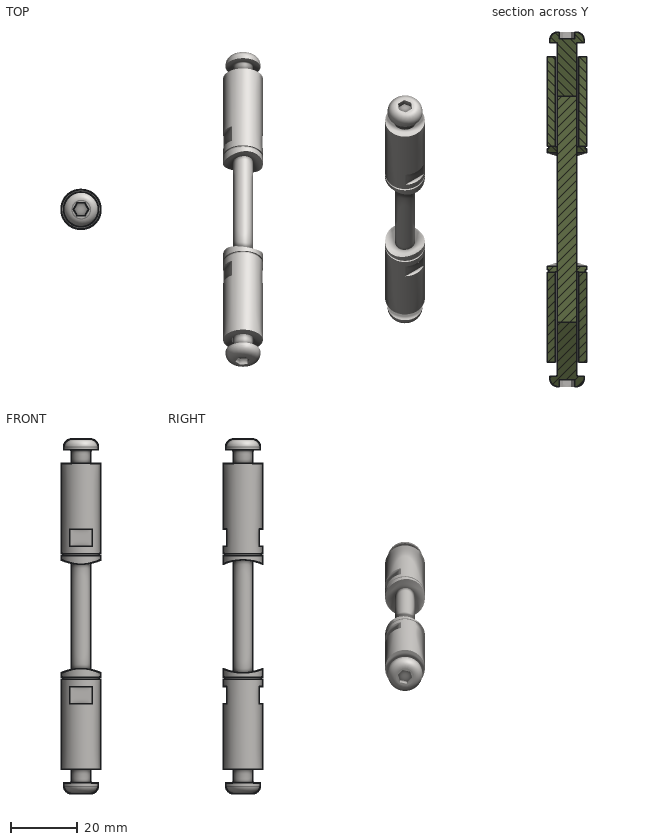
import cadquery as cq
import math

total_length = 107.1
body_diameter = 12.0
rod_diameter = 6.0

head_diameter = 10.5
head_height = 3.3
head_rim_height = 1.0
head_top_diameter = 5.6
dome_bulge = 0.6
head_fillet = 0.3
socket_across_flats = 4.0
socket_depth = 2.0
screw_length = 16.1

bore_diameter = 6.9
head_gap = 4.1
sleeve_length = 27.2
flat_spacing = 9.9
flat_height = 5.1
flat_offset = 2.2

neck_diameter = 11.0
neck_length = 0.6
tip_length = 3.2
saddle_depth = 1.3

end_z = total_length / 2
head_seat_z = end_z - head_height
sleeve_outer_z = head_seat_z - head_gap
sleeve_inner_z = sleeve_outer_z - sleeve_length
tip_inner_z = sleeve_inner_z - tip_length
screw_tip_z = head_seat_z - screw_length

body_radius = body_diameter / 2
rod_radius = rod_diameter / 2
saddle_radius = (body_radius**2 + saddle_depth**2) / (2 * saddle_depth)


def cylinder(diameter, bottom_z, top_z):
    """Solid cylinder on the Z axis between two heights."""
    return cq.Workplane("XY").workplane(offset=bottom_z).circle(diameter / 2).extrude(top_z - bottom_z)


def make_rod():
    """Plain rod that reaches the tips of both screws."""
    return cylinder(rod_diameter, -screw_tip_z, screw_tip_z)


def make_socket():
    """Hexagonal socket volume, open at the top of the upper screw head."""
    across_corners = socket_across_flats / math.cos(math.pi / 6)
    base = cq.Workplane("XY").workplane(offset=end_z - socket_depth)
    return base.polygon(6, across_corners).extrude(socket_depth)


def make_screw():
    """Upper button-head screw: shank, filleted seat, straight rim and domed head."""
    rim_radius = head_diameter / 2
    rim_z = head_seat_z + head_rim_height
    top_radius = head_top_diameter / 2
    dome_width = rim_radius - top_radius
    dome_height = end_z - rim_z
    chord = math.hypot(dome_width, dome_height)
    dome_middle = (
        (rim_radius + top_radius) / 2 + dome_bulge * dome_height / chord,
        (rim_z + end_z) / 2 + dome_bulge * dome_width / chord,
    )
    fillet_middle = head_fillet * (1 - math.sqrt(0.5))
    screw = (
        cq.Workplane("XZ")
        .moveTo(0, screw_tip_z)
        .lineTo(rod_radius, screw_tip_z)
        .lineTo(rod_radius, head_seat_z - head_fillet)
        .threePointArc(
            (rod_radius + fillet_middle, head_seat_z - fillet_middle),
            (rod_radius + head_fillet, head_seat_z),
        )
        .lineTo(rim_radius, head_seat_z)
        .lineTo(rim_radius, rim_z)
        .threePointArc(dome_middle, (top_radius, end_z))
        .lineTo(0, end_z)
        .close()
        .revolve(360, (0, 0), (0, 1))
    )
    return screw.cut(make_socket())


def make_sleeve():
    """Upper sleeve: cylinder with a clearance bore and two opposite wrench flats."""
    sleeve = cylinder(body_diameter, sleeve_inner_z, sleeve_outer_z)
    sleeve = sleeve.cut(cylinder(bore_diameter, sleeve_inner_z, sleeve_outer_z))
    flat_depth = (body_diameter - flat_spacing) / 2
    flat_middle_y = (flat_spacing + flat_depth) / 2
    flat_middle_z = sleeve_inner_z + flat_offset + flat_height / 2
    for side in (-1, 1):
        notch = cq.Workplane("XY").box(body_diameter, flat_depth, flat_height)
        sleeve = sleeve.cut(notch.translate((0, side * flat_middle_y, flat_middle_z)))
    return sleeve


def make_tip():
    """Upper tip: ring with a reduced neck at the sleeve and a saddle-shaped inner end."""
    shoulder_z = sleeve_inner_z - neck_length
    tip = cylinder(body_diameter, tip_inner_z, shoulder_z)
    tip = tip.union(cylinder(neck_diameter, shoulder_z, sleeve_inner_z))
    tip = tip.cut(cylinder(rod_diameter, tip_inner_z, sleeve_inner_z))
    saddle = (
        cq.Workplane("YZ")
        .center(0, tip_inner_z + saddle_depth - saddle_radius)
        .circle(saddle_radius)
        .extrude(body_radius, both=True)
    )
    return tip.cut(saddle)


rod = make_rod()
bodies = [rod.val()]
for make_body in (make_screw, make_sleeve, make_tip):
    upper_body = make_body()
    lower_body = upper_body.mirror("XY")
    bodies += [upper_body.val(), lower_body.val()]

result = cq.Compound.makeCompound(bodies)